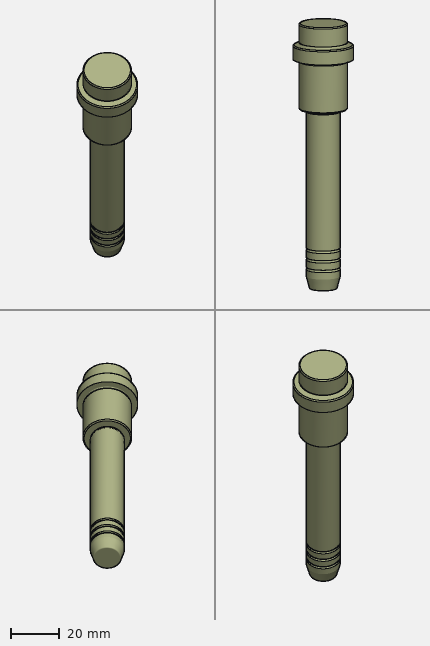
import cadquery as cq
import math

total_length = 111.0
shank_length = 75.0
collar_height = 6.0
head_height = 9.0

shank_radius = 7.0
body_radius = 10.0
collar_radius = 12.5

edge_chamfer = 0.5

tip_length = 5.0
tip_half_angle = 15.0
tip_fillet = 0.5

undercut_width = 1.0
undercut_depth = 0.5

groove_radius = 0.5
oil_groove_count = 3
oil_groove_pitch = 4.0
first_oil_groove_center = 8.5

collar_top = total_length - head_height
collar_bottom = collar_top - collar_height
tip_end_radius = shank_radius - tip_length * math.tan(math.radians(tip_half_angle))


def cylinder(radius, bottom, top):
    """Solid cylinder on the Z axis between two levels."""
    return cq.Workplane("XY").workplane(offset=bottom).circle(radius).extrude(top - bottom)


def revolve_about_axis(outline):
    """Solid of revolution about Z from a closed outline in the XZ plane."""
    return outline.revolve(360, (0, 0, 0), (0, 1, 0))


def make_shank():
    """Guide shank with a tapered, rounded tip and an undercut below the body."""
    undercut_radius = shank_radius - undercut_depth
    undercut_bottom = shank_length - undercut_width
    outline = cq.Workplane("XZ").polyline([
        (0, 0),
        (tip_end_radius, 0),
        (shank_radius, tip_length),
        (shank_radius, undercut_bottom),
        (undercut_radius, undercut_bottom),
        (undercut_radius, shank_length),
        (0, shank_length),
    ]).close()
    return revolve_about_axis(outline).faces("<Z").edges().fillet(tip_fillet)


def make_body_and_collar():
    """Body and head as one chamfered cylinder, ringed by the collar."""
    body = cylinder(body_radius, shank_length, total_length).faces("<Z or >Z").chamfer(edge_chamfer)
    collar = cylinder(collar_radius, collar_bottom, collar_top).faces(">Z").chamfer(edge_chamfer)
    return body.union(collar)


def groove_cutter(surface_radius, center_level):
    """Ring with a half-round section that reaches inward from a cylinder surface."""
    outline = (
        cq.Workplane("XZ")
        .moveTo(surface_radius, center_level - groove_radius)
        .threePointArc(
            (surface_radius - groove_radius, center_level),
            (surface_radius, center_level + groove_radius),
        )
        .close()
    )
    return revolve_about_axis(outline)


result = make_shank().union(make_body_and_collar())

for relief_center in (collar_top + groove_radius, collar_bottom - groove_radius):
    result = result.cut(groove_cutter(body_radius, relief_center))

for index in range(oil_groove_count):
    oil_groove_center = first_oil_groove_center + index * oil_groove_pitch
    result = result.cut(groove_cutter(shank_radius, oil_groove_center))